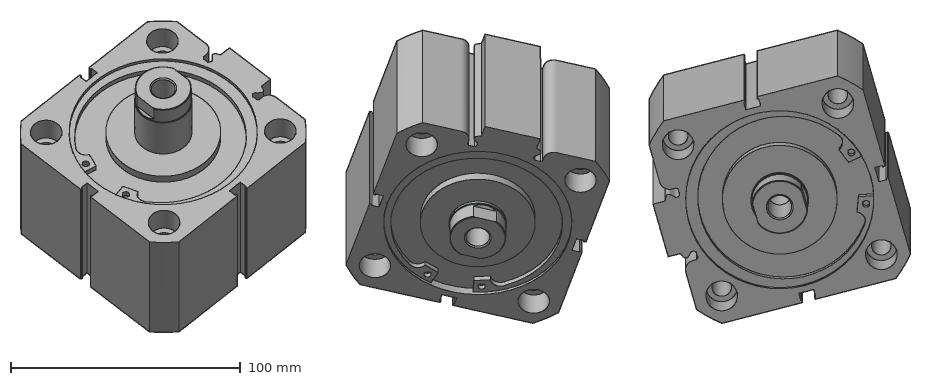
import cadquery as cq
import math


overall_length = 102.0
top_reach = 30.0
bottom_reach = 10.0
housing_height = overall_length - top_reach - bottom_reach
mid_height = housing_height / 2

width = 96.5
half_width = width / 2
overall_depth = 102.0
rail_top = overall_depth - half_width
rail_half_width = 12.5
corner_end = 39.2
corner_radius = math.hypot(half_width, corner_end)
corner_mid = corner_radius * math.sqrt(0.5)

groove_floor = 41.4
groove_outer_wall = 17.0
groove_floor_bevel = 0.7
mouth_round = 4.5
nose_top = (14.5, 47.3)
nose_tip = (15.1, 46.5)
nose_bottom = (14.7, 45.2)
bulb_top = (13.6, 44.1)
bulb_side = (12.9, 42.8)
bulb_bottom = (13.8, groove_floor)

slot_width = 6.7
slot_mouth = 5.5
slot_depth = 4.5
slot_lip = 1.1
slot_chamfer = 0.3

bolt_offset = 36.0
bolt_diameter = 8.6
counterbore_diameter = 13.7
counterbore_depth = 12.2

seat_radius = 40.9
ring_recess = 1.5
ring_thickness = 2.5
cover_recess = ring_recess + ring_thickness
cover_thickness = 10.2
boss_radius = 25.0
boss_height = cover_recess

ring_inner_radius = 37.3
ring_inner_shift = 1.7
gap_half_width = 9.5
lug_end = (8.2, -33.3)
lug_tip = (14.8, -30.8)
lug_valley = (19.3, -33.3)
lug_root_x = 21.9
lug_hole_x = 12.2
lug_hole_y = -35.6
lug_hole_diameter = 3.1

rod_radius = 25.0 / 2
tip_radius = 24.4 / 2
tip_length = 8.4
shoulder_chamfer = 0.25
tip_chamfer = 0.3
flat_offset = 22.0 / 2
flat_length = 7.1
thread_diameter = 10.4
thread_chamfer = 0.6
thread_depth = 18.4
drill_point_angle = 118.0


def mirrored(point):
    """Return the point's mirror image across the YZ plane."""
    return (-point[0], point[1])


def groove_and_rail(outline):
    """Continue the outline from the +X end of the top side, over the rail, to the -X end."""
    mouth_start = (groove_outer_wall + mouth_round, half_width)
    mouth_end = (groove_outer_wall, half_width - mouth_round)
    bend = mouth_round * (1 - math.sqrt(0.5))
    mouth_mid = (groove_outer_wall + bend, half_width - bend)
    wall_bottom = (groove_outer_wall, groove_floor + groove_floor_bevel)
    floor_start = (groove_outer_wall - groove_floor_bevel, groove_floor)
    rail_corner = (rail_half_width, half_width)
    return (
        outline.lineTo(*mouth_start)
        .threePointArc(mouth_mid, mouth_end)
        .lineTo(*wall_bottom)
        .lineTo(*floor_start)
        .lineTo(*bulb_bottom)
        .threePointArc(bulb_side, bulb_top)
        .lineTo(*nose_bottom)
        .threePointArc(nose_tip, nose_top)
        .lineTo(*rail_corner)
        .lineTo(rail_half_width, rail_top)
        .lineTo(-rail_half_width, rail_top)
        .lineTo(*mirrored(rail_corner))
        .lineTo(*mirrored(nose_top))
        .threePointArc(mirrored(nose_tip), mirrored(nose_bottom))
        .lineTo(*mirrored(bulb_top))
        .threePointArc(mirrored(bulb_side), mirrored(bulb_bottom))
        .lineTo(*mirrored(floor_start))
        .lineTo(*mirrored(wall_bottom))
        .lineTo(*mirrored(mouth_end))
        .threePointArc(mirrored(mouth_mid), mirrored(mouth_start))
        .lineTo(-corner_end, half_width)
    )


def make_housing_block():
    outline = (
        cq.Workplane("XY")
        .moveTo(-corner_end, -half_width)
        .lineTo(corner_end, -half_width)
        .threePointArc((corner_mid, -corner_mid), (half_width, -corner_end))
        .lineTo(half_width, corner_end)
        .threePointArc((corner_mid, corner_mid), (corner_end, half_width))
    )
    return (
        groove_and_rail(outline)
        .threePointArc((-corner_mid, corner_mid), (-half_width, corner_end))
        .lineTo(-half_width, -corner_end)
        .threePointArc((-corner_mid, -corner_mid), (-corner_end, -half_width))
        .close()
        .extrude(housing_height)
    )


def make_slot_cutter():
    """Full-height T-slot in the -Y side."""
    slot_bottom = -half_width + slot_depth
    lip_inside = -half_width + slot_lip
    return (
        cq.Workplane("XY")
        .moveTo(-slot_mouth / 2 - slot_chamfer, -half_width)
        .lineTo(slot_mouth / 2 + slot_chamfer, -half_width)
        .lineTo(slot_mouth / 2, -half_width + slot_chamfer)
        .lineTo(slot_mouth / 2, lip_inside)
        .lineTo(slot_width / 2, lip_inside)
        .lineTo(slot_width / 2, slot_bottom)
        .lineTo(-slot_width / 2, slot_bottom)
        .lineTo(-slot_width / 2, lip_inside)
        .lineTo(-slot_mouth / 2, lip_inside)
        .lineTo(-slot_mouth / 2, -half_width + slot_chamfer)
        .close()
        .extrude(housing_height)
    )


def make_housing():
    body = make_housing_block()

    slot = make_slot_cutter()
    for angle in (-90, 0, 90):
        body = body.cut(slot.rotate((0, 0, 0), (0, 0, 1), angle))

    for end in ("<Z", ">Z"):
        body = (
            body.faces(end)
            .workplane(origin=(0, 0, 0))
            .rect(2 * bolt_offset, 2 * bolt_offset, forConstruction=True)
            .vertices()
            .cboreHole(bolt_diameter, counterbore_diameter, counterbore_depth)
        )

    seat_depth = cover_recess + cover_thickness
    for seat_floor in (0, housing_height - seat_depth):
        seat = cq.Workplane("XY", origin=(0, 0, seat_floor)).circle(seat_radius).extrude(seat_depth)
        body = body.cut(seat)
    return body.cut(cq.Workplane("XY").circle(rod_radius).extrude(housing_height))


def make_cover():
    """Cover at the top end: a disc with a raised boss around the rod."""
    cover_face = housing_height - cover_recess
    disc = (
        cq.Workplane("XY", origin=(0, 0, cover_face - cover_thickness))
        .circle(seat_radius)
        .extrude(cover_thickness)
    )
    boss = cq.Workplane("XY", origin=(0, 0, cover_face)).circle(boss_radius).extrude(boss_height)
    rod_hole = cq.Workplane("XY").circle(rod_radius).extrude(housing_height)
    return disc.union(boss).cut(rod_hole)


def make_ring():
    """Retaining ring at the top end, open toward -Y, with a plier hole in each lug."""
    gap_edge = (gap_half_width, -math.sqrt(seat_radius**2 - gap_half_width**2))
    root_drop = math.sqrt(ring_inner_radius**2 - lug_root_x**2)
    lug_root = (lug_root_x, -ring_inner_shift - root_drop)
    return (
        cq.Workplane("XY", origin=(0, 0, housing_height - cover_recess))
        .moveTo(*gap_edge)
        .threePointArc((0, seat_radius), mirrored(gap_edge))
        .lineTo(*mirrored(lug_end))
        .lineTo(*mirrored(lug_tip))
        .threePointArc(mirrored(lug_valley), mirrored(lug_root))
        .threePointArc((0, ring_inner_radius - ring_inner_shift), lug_root)
        .threePointArc(lug_valley, lug_tip)
        .lineTo(*lug_end)
        .close()
        .pushPoints([(-lug_hole_x, lug_hole_y), (lug_hole_x, lug_hole_y)])
        .circle(lug_hole_diameter / 2)
        .extrude(ring_thickness)
    )


def at_bottom_end(body):
    """Mirror a body from the top end of the housing to the bottom end."""
    return body.mirror("XY", (0, 0, mid_height))


def make_flat_cutter(end_z, inward):
    """Wrench flat on the +Y side of a rod end, with a sloped run-out up to the shoulder."""
    flat_end = end_z + inward * flat_length
    shoulder = end_z + inward * tip_length
    return (
        cq.Workplane("YZ")
        .moveTo(flat_offset, end_z)
        .lineTo(flat_offset, flat_end)
        .lineTo(rod_radius, shoulder)
        .lineTo(rod_radius, end_z)
        .close()
        .extrude(rod_radius, both=True)
    )


def make_thread_cutter(end_z, inward):
    """Tapped hole with a chamfered mouth and a drill-point bottom."""
    radius = thread_diameter / 2
    point_length = radius / math.tan(math.radians(drill_point_angle / 2))
    return (
        cq.Workplane("XZ")
        .moveTo(0, end_z)
        .lineTo(radius + thread_chamfer, end_z)
        .lineTo(radius, end_z + inward * thread_chamfer)
        .lineTo(radius, end_z + inward * thread_depth)
        .lineTo(0, end_z + inward * (thread_depth + point_length))
        .close()
        .revolve(360, (0, 0, 0), (0, 1, 0))
    )


def make_rod():
    bottom = -bottom_reach
    top = housing_height + top_reach
    tip = cq.Workplane("XY", origin=(0, 0, bottom)).circle(tip_radius).extrude(overall_length)
    tip = tip.faces("<Z or >Z").chamfer(tip_chamfer)
    shank = (
        cq.Workplane("XY", origin=(0, 0, bottom + tip_length))
        .circle(rod_radius)
        .extrude(overall_length - 2 * tip_length)
        .faces("<Z or >Z")
        .chamfer(shoulder_chamfer)
    )
    body = tip.union(shank)
    for end_z, inward in ((bottom, 1), (top, -1)):
        flat = make_flat_cutter(end_z, inward)
        body = body.cut(flat).cut(flat.mirror("XZ"))
        body = body.cut(make_thread_cutter(end_z, inward))
    return body


housing = make_housing()
rod = make_rod()

top_cover = make_cover()
covers = [top_cover, at_bottom_end(top_cover)]

top_ring = make_ring()
rings = [top_ring, at_bottom_end(top_ring)]

result = cq.Compound.makeCompound([body.val() for body in [housing, rod, *covers, *rings]])